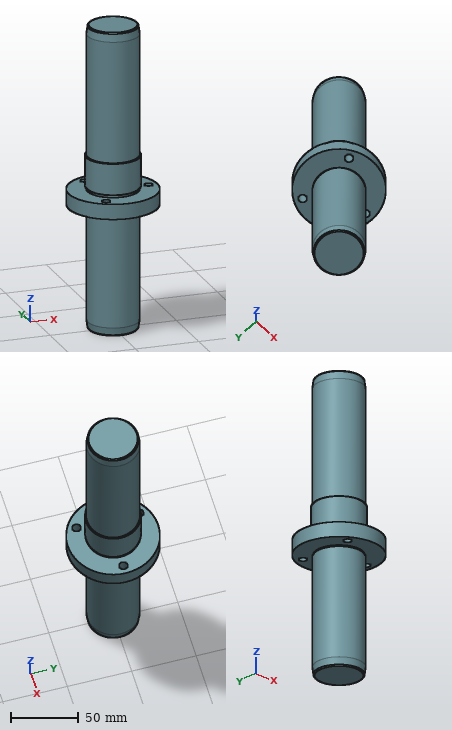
import cadquery as cq

LENGTH = 240.0
SHAFT_RADIUS = 40.0 / 2

TAPER_LENGTH = 7.0
TAPER_END_RADIUS = 19.2
RIM_CHAMFER = 1.0

FLANGE_RADIUS = 70.0 / 2
FLANGE_BOTTOM = 98.0
FLANGE_THICKNESS = 12.0
FLANGE_TOP = FLANGE_BOTTOM + FLANGE_THICKNESS
HOLE_COUNT = 3
HOLE_DIAMETER = 6.5
HOLE_CIRCLE_RADIUS = 28.0

COLLAR_RADIUS = 42.0 / 2
COLLAR_LENGTH = 25.5
RELIEF_LENGTH = 2.0
COLLAR_BOTTOM = FLANGE_TOP + RELIEF_LENGTH
COLLAR_CHAMFER = 0.5

UNDERCUT_LENGTH = 1.5
UNDERCUT_DEPTH = 0.7
UNDERCUT_BOTTOM = FLANGE_BOTTOM - UNDERCUT_LENGTH


def make_shaft():
    """Revolve the straight shaft with both tapered ends about Z."""
    rim_radius = TAPER_END_RADIUS - RIM_CHAMFER
    profile = [
        (0, 0),
        (rim_radius, 0),
        (TAPER_END_RADIUS, RIM_CHAMFER),
        (SHAFT_RADIUS, TAPER_LENGTH),
        (SHAFT_RADIUS, LENGTH - TAPER_LENGTH),
        (TAPER_END_RADIUS, LENGTH - RIM_CHAMFER),
        (rim_radius, LENGTH),
        (0, LENGTH),
    ]
    return cq.Workplane("XZ").polyline(profile).close().revolve(360, (0, 0), (0, 1))


def make_undercut():
    """Ring to remove from the shaft below the flange."""
    floor_radius = SHAFT_RADIUS - UNDERCUT_DEPTH
    profile = [
        (SHAFT_RADIUS, UNDERCUT_BOTTOM),
        (floor_radius, UNDERCUT_BOTTOM + UNDERCUT_DEPTH),
        (floor_radius, FLANGE_BOTTOM),
        (SHAFT_RADIUS, FLANGE_BOTTOM),
    ]
    return cq.Workplane("XZ").polyline(profile).close().revolve(360, (0, 0), (0, 1))


def make_flange():
    """Round flange with its bolt holes, the first one on +X."""
    base = cq.Workplane("XY").workplane(offset=FLANGE_BOTTOM)
    disc = base.circle(FLANGE_RADIUS).extrude(FLANGE_THICKNESS)
    holes = (
        base.polarArray(HOLE_CIRCLE_RADIUS, 0, 360, HOLE_COUNT)
        .circle(HOLE_DIAMETER / 2)
        .extrude(FLANGE_THICKNESS)
    )
    return disc.cut(holes)


def make_collar():
    """Collar with both outer edges chamfered."""
    base = cq.Workplane("XY").workplane(offset=COLLAR_BOTTOM)
    collar = base.circle(COLLAR_RADIUS).extrude(COLLAR_LENGTH)
    return collar.faces("<Z or >Z").edges().chamfer(COLLAR_CHAMFER)


result = make_shaft().cut(make_undercut()).union(make_flange()).union(make_collar())